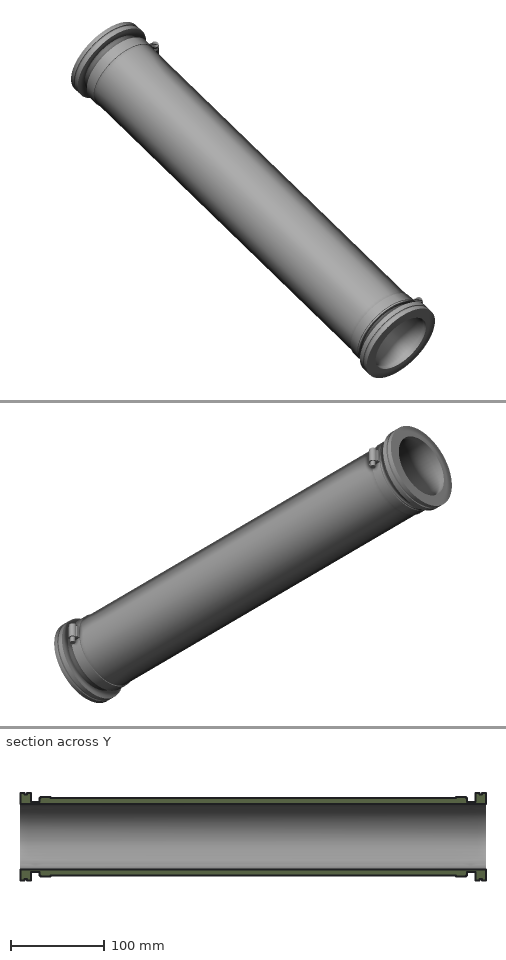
import cadquery as cq

length = 500.0
bore_radius = 35.0

flange_radius = 47.5
flange_thickness = 11.5
groove_start = 4.5
groove_width = 2.0
groove_depth = 1.5

neck_radius = 38.0
hose_radius = 42.0
hose_inset = 20.0

band_radius = 43.0
band_inset = 21.5
band_width = 11.0

clamp_reach = 51.5
housing_radius = 4.5
housing_top = 7.0
housing_bottom = -7.0
head_radius = 4.0
head_top = 10.0
tip_radius = 3.0
tip_bottom = -13.0
slot_width = 1.0
slot_depth = 1.5
slot_angle = 40.0

saddle_width = 12.0
saddle_reach = 46.5
saddle_height = 14.0

screw_y = clamp_reach - housing_radius
screw_x = length / 2 - band_inset - band_width / 2
hose_end = length / 2 - hose_inset


def disc(radius, start, width):
    """Solid disc on the tube axis, from x = start over the given width."""
    return cq.Workplane("YZ", origin=(start, 0, 0)).circle(radius).extrude(width)


def flange(side):
    """Grooved flange at the end on the given side (-1 or 1)."""
    end = -length / 2
    groove_end = groove_start + groove_width
    rim = disc(flange_radius, end, groove_start)
    rim = rim.union(disc(flange_radius - groove_depth, end + groove_start, groove_width))
    rim = rim.union(disc(flange_radius, end + groove_end, flange_thickness - groove_end))
    return rim if side < 0 else rim.mirror("YZ")


def screw_cylinder(x, radius, bottom, top):
    """Cylinder on the clamp screw axis between two heights."""
    return cq.Workplane("XY", origin=(x, screw_y, bottom)).circle(radius).extrude(top - bottom)


def clamp(side):
    """Band, saddle and slotted screw around the hose end on the given side."""
    x = side * screw_x
    band = disc(band_radius, x - band_width / 2, band_width)
    saddle = cq.Workplane("XY").box(
        saddle_width, saddle_reach, saddle_height, centered=(True, False, True)
    ).translate((x, 0, 0))
    housing = screw_cylinder(x, housing_radius, housing_bottom, housing_top)
    head = screw_cylinder(x, head_radius, housing_top, head_top)
    tip = screw_cylinder(x, tip_radius, tip_bottom, housing_bottom)
    slot = (
        cq.Workplane("XY", origin=(x, screw_y, head_top - slot_depth))
        .transformed(rotate=(0, 0, slot_angle))
        .rect(2 * head_radius, slot_width)
        .extrude(slot_depth)
    )
    screw = housing.union(head).union(tip).cut(slot)
    return band.union(saddle).union(screw)


body = disc(neck_radius, -length / 2, length)
body = body.union(disc(hose_radius, -hose_end, 2 * hose_end))
for side in (-1, 1):
    body = body.union(flange(side)).union(clamp(side))

bore = disc(bore_radius, -length / 2, length)
result = body.cut(bore)